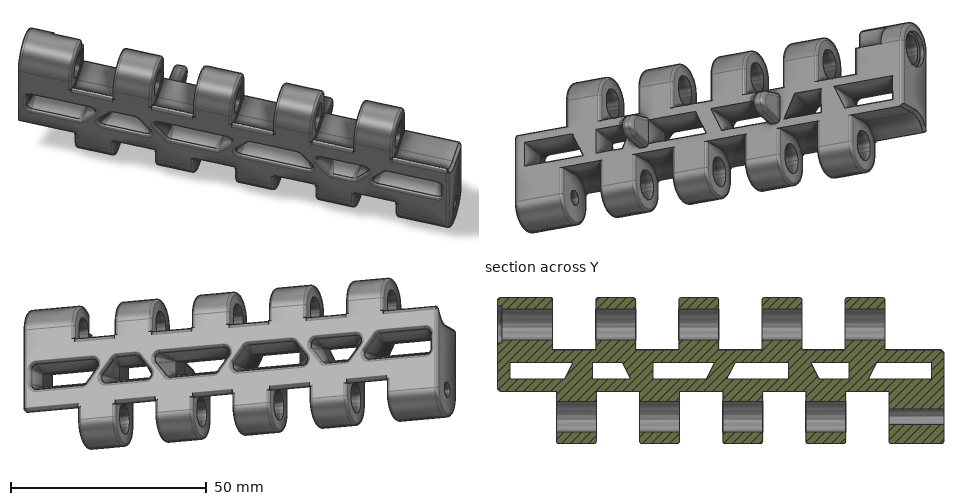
import cadquery as cq
import math

LENGTH = 114.2
THICKNESS = 12.7
HEIGHT = 37.5
ROUND_RADIUS = THICKNESS / 2
MID_Y = THICKNESS / 2
MID_Z = HEIGHT / 2
UPPER_AXIS_Z = HEIGHT - ROUND_RADIUS

KNUCKLE_PITCH = 21.2
GAP_COUNT = 5
GAP_WIDTH = 11.0
FIRST_GAP_X = 14.2
GAP_FLOOR_Z = 24.1
CLEARANCE_RADIUS = 5.8
LIP_DEPTH = 0.9
LIP_HEIGHT = 1.1
EDGE_ROUND = 0.7
END_ROUND = 0.8
MARGIN = 5.7

SLOT_RADIUS = 3.3
SLOT_TRAVEL = 1.1
SLOT_OFFSET_Z = 11.8
SMALL_HOLE_RADIUS = 1.9
COUNTERBORE_RADIUS = 4.7
COUNTERBORE_DEPTH = 1.1

REBATE_X = 6.4
REBATE_DEPTH = 2.6

STRUT_CENTERS = [20.9, 35.6, LENGTH / 2]
STRUT_SLOPE = 0.8
STRUT_HALF_WIDTH = 0.8
WINDOW_END_X = 1.4
WINDOW_EDGE_ROUND = 0.7
WINDOW_RIM_DEPTH = 0.8
FRONT_HALF_HEIGHT = 3.3
FRONT_CORNER_RADIUS = 1.5
WAIST_DEPTH = 5.1
WAIST_HALF_HEIGHT = 1.8
WAIST_CORNER_RADIUS = 0.1
WAIST_END_X = 3.4
WAIST_STRUT_OFFSET = 2.7
WAIST_STRAIGHT_XS = [24.5, 40.0]
WAIST_STRUT_SLOPE = 0.5
BACK_SIDE_FLARE = 0.5
BACK_HEIGHT_FLARE = 1.4

LUG_X = 37.8
LUG_WIDTH = 3.3
LUG_LENGTH = 8.3
LUG_TIP_RADIUS = 3.03
LUG_TAPER = math.radians(10)
LUG_ROUND = 1.0


def turned_half(shape):
    """The same shape turned half way round about the Y axis through the middle of the part."""
    return shape.rotate((LENGTH / 2, 0, MID_Z), (LENGTH / 2, 1, MID_Z), 180)


def upper_gap_starts():
    """Start along X and width of each gap beside an upper knuckle; the last runs off the end."""
    starts = [FIRST_GAP_X + index * KNUCKLE_PITCH for index in range(GAP_COUNT)]
    widths = [GAP_WIDTH] * (GAP_COUNT - 1) + [LENGTH - starts[-1] + MARGIN]
    return list(zip(starts, widths))


def floor_arc():
    """Middle and end of the hollow in a gap floor, which starts under the pin axis."""
    center_z = GAP_FLOOR_Z + CLEARANCE_RADIUS
    angle = math.asin((MID_Y - LIP_DEPTH) / CLEARANCE_RADIUS)

    def point(turn):
        return MID_Y - CLEARANCE_RADIUS * math.sin(turn), center_z - CLEARANCE_RADIUS * math.cos(turn)

    return point(angle / 2), point(angle)


def gap(start_x, width, flare=0):
    """Space for a knuckle of the next link: flat at the back, hollow in front of the pin axis."""
    arc_middle, arc_end = floor_arc()
    return (
        cq.Workplane("YZ", origin=(start_x, 0, 0))
        .moveTo(THICKNESS + MARGIN, GAP_FLOOR_Z)
        .lineTo(MID_Y, GAP_FLOOR_Z)
        .threePointArc(arc_middle, arc_end)
        .lineTo(-MARGIN, arc_end[1])
        .lineTo(-MARGIN, HEIGHT + MARGIN)
        .lineTo(THICKNESS + MARGIN, HEIGHT + MARGIN)
        .close()
        .extrude(width, taper=-flare)
    )


def upper_gaps():
    gaps = [gap(start_x, width).val() for start_x, width in upper_gap_starts()]
    return cq.Workplane(cq.Compound.makeCompound(gaps))


def upper_lips():
    """Material removed to round the front lip of each gap floor."""
    lip_top_z = floor_arc()[1][1]
    half_turn = math.sin(math.pi / 4)
    lip_middle = (LIP_DEPTH * (1 - half_turn), lip_top_z - LIP_HEIGHT * (1 - half_turn))
    lips = []
    for start_x, width in upper_gap_starts():
        lip = (
            cq.Workplane("YZ", origin=(start_x, 0, 0))
            .moveTo(LIP_DEPTH, lip_top_z)
            .threePointArc(lip_middle, (0, lip_top_z - LIP_HEIGHT))
            .lineTo(-MARGIN, lip_top_z - LIP_HEIGHT)
            .lineTo(-MARGIN, lip_top_z)
            .close()
            .extrude(width)
        )
        lips.append(lip.val())
    return cq.Workplane(cq.Compound.makeCompound(lips))


def is_knuckle_side_outline(edge):
    """True for edges around the sides of the knuckles, except where they meet a gap floor."""
    box = edge.BoundingBox()
    tol = 0.01
    if box.xlen > tol or box.xmin < END_ROUND + tol or box.xmax > LENGTH - END_ROUND - tol:
        return False
    on_outer_face = box.ymax < tol or box.ymin > THICKNESS - tol
    on_crown = abs(box.center.z - MID_Z) > UPPER_AXIS_Z - MID_Z
    return on_outer_face or on_crown


def link_body():
    bar = (
        cq.Workplane("YZ")
        .center(MID_Y, MID_Z)
        .slot2D(HEIGHT, THICKNESS, 90)
        .extrude(LENGTH)
        .faces("<X or >X")
        .edges()
        .fillet(END_ROUND)
    )
    gaps = upper_gaps()
    body = bar.cut(gaps).cut(turned_half(gaps))
    outlines = [edge for edge in body.edges().vals() if is_knuckle_side_outline(edge)]
    body = body.newObject(outlines).fillet(EDGE_ROUND)
    end_bevel = gap(LENGTH - END_ROUND, END_ROUND, flare=45)
    for cutter in (upper_lips(), end_bevel):
        body = body.cut(cutter).cut(turned_half(cutter))
    return body


def pin_holes():
    """Slotted holes through the knuckles and the narrow hole at the right-hand lower end."""

    def slot(start_x, length):
        return (
            cq.Workplane("YZ", origin=(start_x, MID_Y, MID_Z + SLOT_OFFSET_Z))
            .slot2D(2 * SLOT_RADIUS + SLOT_TRAVEL, 2 * SLOT_RADIUS, 90)
            .extrude(length)
        )

    last_knuckle_x = LENGTH - FIRST_GAP_X
    slots = slot(0, LENGTH).union(turned_half(slot(FIRST_GAP_X, LENGTH)))
    small_hole = (
        cq.Workplane("YZ", origin=(last_knuckle_x, MID_Y, MID_Z - SLOT_OFFSET_Z))
        .circle(SMALL_HOLE_RADIUS)
        .extrude(FIRST_GAP_X)
    )
    counterbore = (
        cq.Workplane("YZ", origin=(0, MID_Y, MID_Z + SLOT_OFFSET_Z))
        .circle(COUNTERBORE_RADIUS)
        .extrude(COUNTERBORE_DEPTH)
    )
    return slots.union(small_hole).union(counterbore)


def rebate():
    return cq.Workplane().box(
        FIRST_GAP_X - REBATE_X, REBATE_DEPTH, ROUND_RADIUS, centered=False
    ).translate((REBATE_X, THICKNESS - REBATE_DEPTH, UPPER_AXIS_Z))


def end_line(x_at_middle, slope, half_height):
    """Lower and upper corner of a window end that leans by `slope` along X per unit of Z."""
    shift = slope * half_height
    return (x_at_middle - shift, -half_height), (x_at_middle + shift, half_height)


def window(front_ends, waist_ends):
    """Window narrowing to a waist; each end is given by its X at mid height and its slope."""

    def outline(ends, half_height, corner_radius):
        left_low, left_high = end_line(*ends[0], half_height)
        right_low, right_high = end_line(*ends[1], half_height)
        corners = [left_low, right_low, right_high, left_high, left_low]
        return cq.Sketch().polygon(corners).vertices().fillet(corner_radius)

    def loft(start, end, start_depth, end_depth):
        to_end = cq.Location(cq.Vector(0, 0, start_depth - end_depth))
        return (
            cq.Workplane("XZ", origin=(0, start_depth, MID_Z))
            .placeSketch(start, end.moved(to_end))
            .loft(ruled=True)
        )

    (left_x, left_slope), (right_x, right_slope) = waist_ends
    back_ends = [(left_x - BACK_SIDE_FLARE, left_slope), (right_x + BACK_SIDE_FLARE, right_slope)]
    front = outline(front_ends, FRONT_HALF_HEIGHT, FRONT_CORNER_RADIUS)
    waist = outline(waist_ends, WAIST_HALF_HEIGHT, WAIST_CORNER_RADIUS)
    back = outline(back_ends, WAIST_HALF_HEIGHT + BACK_HEIGHT_FLARE, WAIST_CORNER_RADIUS)
    straight_rim = cq.Workplane("XZ", origin=(0, 0, MID_Z)).placeSketch(front).extrude(-WINDOW_RIM_DEPTH)
    narrowing = loft(front, waist, WINDOW_RIM_DEPTH, WAIST_DEPTH)
    flaring = loft(waist, back, WAIST_DEPTH, THICKNESS)
    return straight_rim.union(narrowing).union(flaring)


def windows():
    inset = STRUT_HALF_WIDTH + WINDOW_EDGE_ROUND
    first, second, middle = STRUT_CENTERS
    straight_1, straight_2 = WAIST_STRAIGHT_XS
    rise, fall = STRUT_SLOPE, -STRUT_SLOPE
    waist_rise, waist_fall = WAIST_STRUT_SLOPE, -WAIST_STRUT_SLOPE
    outer = window(
        [(WINDOW_END_X + WINDOW_EDGE_ROUND, 0), (first - inset, rise)],
        [(WAIST_END_X, 0), (first - WAIST_STRUT_OFFSET, waist_rise)],
    )
    short = window(
        [(first + inset, rise), (second - inset, fall)],
        [(straight_1, 0), (second - WAIST_STRUT_OFFSET, waist_fall)],
    )
    inner = window(
        [(second + inset, fall), (middle - inset, rise)],
        [(straight_2, 0), (middle - WAIST_STRUT_OFFSET, waist_rise)],
    )
    left_half = [outer, short, inner]
    return left_half + [turned_half(shape) for shape in left_half]


def lug(center_x):
    """Tapered guide lug with a round tip, standing on the back face."""
    tip_center_y = THICKNESS + LUG_LENGTH - LUG_TIP_RADIUS
    tangent_y = tip_center_y + LUG_TIP_RADIUS * math.sin(LUG_TAPER)
    tangent_half = LUG_TIP_RADIUS * math.cos(LUG_TAPER)
    root_y = THICKNESS - EDGE_ROUND
    root_half = tangent_half + (tangent_y - root_y) * math.tan(LUG_TAPER)
    body = (
        cq.Workplane("YZ", origin=(center_x - LUG_WIDTH / 2, 0, MID_Z))
        .moveTo(root_y, -root_half)
        .lineTo(tangent_y, -tangent_half)
        .threePointArc((THICKNESS + LUG_LENGTH, 0), (tangent_y, tangent_half))
        .lineTo(root_y, root_half)
        .close()
        .extrude(LUG_WIDTH)
    )
    side_outlines = body.faces("<X or >X").edges().edges("not <Y")
    return body.newObject(side_outlines.vals()).fillet(LUG_ROUND)


def is_window_rim(edge):
    box = edge.BoundingBox()
    inside_z = abs(box.center.z - MID_Z) < FRONT_HALF_HEIGHT + WINDOW_EDGE_ROUND
    inside_x = WINDOW_END_X < box.xmin and box.xmax < LENGTH - WINDOW_END_X
    return box.ymax < 0.01 and inside_z and inside_x


result = link_body()
for opening in windows():
    result = result.cut(opening)
rims = [edge for edge in result.edges().vals() if is_window_rim(edge)]
result = result.newObject(rims).fillet(WINDOW_EDGE_ROUND)
result = result.cut(pin_holes()).cut(rebate())
for lug_x in (LUG_X, LENGTH - LUG_X):
    result = result.union(lug(lug_x))